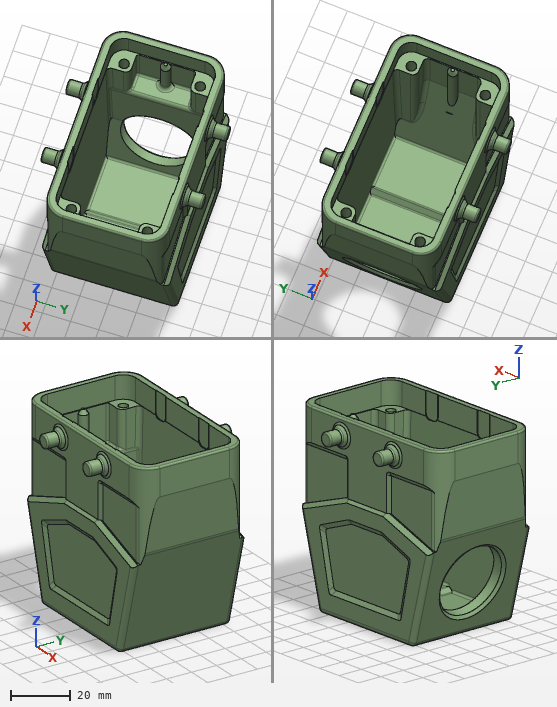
import cadquery as cq
import math

LENGTH = 73.0
HEIGHT = 72.0
PIN_SPAN = 57.0

UPPER_WIDTH = 43.1
UPPER_CORNER_RADIUS = 7.5
RIM_ROUND = 0.7
LOWER_WIDTH = 45.25
END_TAPER_TOP_Z = 60.7
END_KINK_X = 34.75
END_KINK_Z = 39.8
END_KINK_ROUND = 5.1
BOTTOM_HALF_LENGTH = 24.1
LOWER_EDGE_ROUND = 1.9

PANEL_TOP_Z = 44.5
PANEL_FLAT_HALF = 9.6
PANEL_END_Z = 36.05
PANEL_CHAMFER = 1.6

WINDOW_DEPTH = 0.95
WINDOW_INNER_X = 11.45
WINDOW_TOP_Z = 57.5
WINDOW_BORDER = 1.5
WINDOW_FLANK_ROUND = 2.2

LABEL_DEPTH = 1.0
LABEL_BORDER = 1.75
LABEL_CORNER_RADIUS = 2.9
LABEL_HALF_OUTLINE = [(18.5, 8.0), (23.65, 31.4), (8.4, 37.2)]

PIN_X = 13.35
PIN_Z = 65.7
PIN_RADIUS = 2.6
PIN_TIP_ROUND = 0.6
PIN_ROOT_DEPTH = 0.7
PIN_FOOT = [(4.7, 0), (3.8, 0.5), (2.9, 1.5), (PIN_RADIUS, 2.2)]

MOUTH_HALF_LENGTH = 33.7
MOUTH_WIDTH = 37.1
MOUTH_CORNER_RADIUS = 5.0
LEDGE_Z = 62.9
CAVITY_HALF_LENGTH = 33.3
CAVITY_TOP_WIDTH = 36.95
CAVITY_FLOOR_WIDTH = 34.45
FLOOR_EDGE_ROUND = 0.9
SHELF_Z = 48.2
FAR_SLOPE_TOP_Z = 42.35
SHELF_EDGE_X = 25.4
SHELF_EDGE_ROUND = 1.3
SHELF_ROOT_ROUND = 0.9
PAD_TOP_Z = 24.8
FLOOR_Z = 4.4
FLOOR_NEAR_X = 20.3
FLOOR_FAR_X = 22.6
FLOOR_STEP_X = 0.65
FLOOR_STEP_LENGTH = 2.2
FLOOR_STEP_HEIGHT = 1.75

RELIEF_WIDTH = 6.3
RELIEF_DEPTH = 0.3
RELIEF_BOTTOM_Z = 62.05
RELIEF_CORNER_ROUND = 2.1

BOSS_X = 25.7
BOSS_Y = 10.5
BOSS_CORNER_RADIUS = 2.2
BOSS_ROOT_ROUND = 1.75
SCREW_X = 28.55
SCREW_Y = 13.5
SCREW_DIAMETER = 2.7
SCREW_MOUTH_DIAMETER = 3.5
SCREW_DEPTH = 11.7

POST_X = 32.4
POST_FAR_ROOT_Z = 29.2
POST_RADIUS = 1.8
POST_TIP_RADIUS = 0.6
POST_TOP_Z = 63.65
POST_TIP_HEIGHT = 1.75
POST_FLARE = 1.4

ENTRY_DIAMETER = 26.8
ENTRY_MOUTH_DIAMETER = 29.0
ENTRY_CHAMFER = 1.1
ENTRY_Z = 19.7
ENTRY_DEPTH = 11.7

MARGIN = 0.7

END_SLOPE = (END_KINK_X - BOTTOM_HALF_LENGTH) / END_KINK_Z


def mirrored(points):
    """Closed outline from its +X half, listed upwards."""
    return points + [(-x, z) for x, z in reversed(points)]


def side_prism(points, width):
    """XZ outline extruded to both sides of the XZ plane."""
    return cq.Workplane("XZ").polyline(points).close().extrude(width / 2, both=True)


def both_sides(body):
    """Body together with its mirror image in the XZ plane."""
    return body.union(body.mirror("XZ"))


def upper_body():
    """Round-cornered box tapering in at both ends, with the window recesses."""
    half = LENGTH / 2
    base_z = PANEL_END_Z / 2
    box = cq.Workplane("XY", origin=(0, 0, base_z)).rect(LENGTH, UPPER_WIDTH).extrude(HEIGHT - base_z)
    box = box.edges("|Z").fillet(UPPER_CORNER_RADIUS)
    box = box.faces(">Z").edges().fillet(RIM_ROUND)
    outline = [
        (BOTTOM_HALF_LENGTH, 0),
        (END_KINK_X, END_KINK_Z),
        (half, END_TAPER_TOP_Z),
        (half, HEIGHT),
    ]
    box = box.intersect(side_prism(mirrored(outline), LOWER_WIDTH))
    box = box.cut(windows())
    window_flanks = cq.selectors.BoxSelector(
        (-END_KINK_X, -UPPER_WIDTH, END_KINK_Z), (END_KINK_X, UPPER_WIDTH, WINDOW_TOP_Z)
    )
    box = box.edges("|Z").edges(window_flanks).fillet(WINDOW_FLANK_ROUND)
    kink = cq.selectors.BoxSelector(
        (-LENGTH, -MARGIN, END_KINK_Z - MARGIN), (LENGTH, MARGIN, END_KINK_Z + MARGIN)
    )
    return box.edges("|Y").edges(kink).fillet(END_KINK_ROUND)


def windows():
    """Recesses that run out over the rounded corners, with sloping borders."""
    outer_x = LENGTH
    taper = math.degrees(math.atan2(WINDOW_BORDER, WINDOW_DEPTH))
    cutters = cq.Workplane("XY")
    for side in (-1, 1):
        cutter = (
            cq.Workplane("XZ", origin=(0, WINDOW_DEPTH - UPPER_WIDTH / 2, 0))
            .center(side * (WINDOW_INNER_X + outer_x) / 2, WINDOW_TOP_Z / 2)
            .rect(outer_x - WINDOW_INNER_X, WINDOW_TOP_Z)
            .extrude(2 * WINDOW_DEPTH, taper=-taper)
        )
        cutters = cutters.union(cutter)
    return both_sides(cutters)


def lower_body():
    """Wider tapered block whose top edge forms the raised panel outline."""
    end_x = BOTTOM_HALF_LENGTH + END_SLOPE * PANEL_END_Z
    outline = [
        (BOTTOM_HALF_LENGTH, 0),
        (end_x, PANEL_END_Z),
        (PANEL_FLAT_HALF, PANEL_TOP_Z),
    ]
    body = side_prism(mirrored(outline), LOWER_WIDTH)
    panel_top = cq.selectors.BoxSelector(
        (-LENGTH, -LOWER_WIDTH, PANEL_END_Z + MARGIN), (LENGTH, LOWER_WIDTH, HEIGHT)
    )
    body = body.faces(">Y or <Y").edges(panel_top).chamfer(PANEL_CHAMFER)
    rounded = cq.selectors.BoxSelector(
        (-LENGTH, -LENGTH, -MARGIN), (LENGTH, LENGTH, PANEL_END_Z / 2 + MARGIN)
    )
    return body.edges(rounded).fillet(LOWER_EDGE_ROUND)


def label_recesses():
    """Shallow recesses with sloping borders in both side faces."""
    taper = math.degrees(math.atan2(LABEL_BORDER, LABEL_DEPTH))
    wire = cq.Workplane("XZ", origin=(0, -LOWER_WIDTH / 2, 0)).polyline(mirrored(LABEL_HALF_OUTLINE)).close()
    prism = wire.extrude(-LABEL_DEPTH, taper=taper)
    prism = prism.edges("not #Y").fillet(LABEL_CORNER_RADIUS)
    return both_sides(prism)


def pins():
    """Two locking pins on each side, each on a flared foot."""
    base_y = UPPER_WIDTH / 2
    tip_y = PIN_SPAN / 2
    root_y = base_y - PIN_ROOT_DEPTH
    outline = [(0, root_y), (PIN_FOOT[0][0], root_y)]
    outline += [(radius, base_y + rise) for radius, rise in PIN_FOOT]
    outline += [(PIN_RADIUS, tip_y), (0, tip_y)]
    profile = cq.Workplane("XY").polyline(outline).close()
    pin = profile.revolve(360, (0, 0, 0), (0, 1, 0)).faces(">Y").edges().fillet(PIN_TIP_ROUND)
    pair = pin.translate((-PIN_X, 0, PIN_Z)).union(pin.translate((PIN_X, 0, PIN_Z)))
    return both_sides(pair)


def mouth():
    """Open upper part of the cavity, above the ledge."""
    opening = (
        cq.Workplane("XY", origin=(0, 0, LEDGE_Z))
        .rect(2 * MOUTH_HALF_LENGTH, MOUTH_WIDTH)
        .extrude(HEIGHT - LEDGE_Z)
        .edges("|Z")
        .fillet(MOUTH_CORNER_RADIUS)
    )
    relief_height = HEIGHT - RELIEF_BOTTOM_Z
    for x in (-PIN_X, PIN_X):
        relief = (
            cq.Workplane("XY")
            .box(RELIEF_WIDTH, MOUTH_WIDTH + 2 * RELIEF_DEPTH, relief_height, centered=(True, True, False))
            .edges("|Y and <Z")
            .fillet(RELIEF_CORNER_ROUND)
            .translate((x, 0, RELIEF_BOTTOM_Z))
        )
        opening = opening.union(relief)
    return opening


def lower_cavity():
    """Drafted cavity below the ledge, leaving the cable entry pad and the bosses."""
    step_end_x = FLOOR_STEP_X + FLOOR_STEP_LENGTH
    raised_z = FLOOR_Z + FLOOR_STEP_HEIGHT
    outline = [
        (-CAVITY_HALF_LENGTH, LEDGE_Z),
        (-CAVITY_HALF_LENGTH, SHELF_Z),
        (-SHELF_EDGE_X, SHELF_Z),
        (-SHELF_EDGE_X, PAD_TOP_Z),
        (-FLOOR_NEAR_X, FLOOR_Z),
        (FLOOR_STEP_X, FLOOR_Z),
        (step_end_x, raised_z),
        (FLOOR_FAR_X, raised_z),
        (CAVITY_HALF_LENGTH, FAR_SLOPE_TOP_Z),
        (CAVITY_HALF_LENGTH, LEDGE_Z),
    ]
    cavity = side_prism(outline, LOWER_WIDTH)
    top = CAVITY_TOP_WIDTH / 2
    floor = CAVITY_FLOOR_WIDTH / 2
    section = [(-floor, FLOOR_Z), (floor, FLOOR_Z), (top, LEDGE_Z), (-top, LEDGE_Z)]
    draft = cq.Workplane("YZ").polyline(section).close().extrude(LENGTH / 2, both=True)
    cavity = cavity.intersect(draft)
    floor_zone = cq.selectors.BoxSelector(
        (-LENGTH, -LENGTH, FLOOR_Z - MARGIN), (LENGTH, LENGTH, raised_z + MARGIN)
    )
    cavity = cavity.edges(floor_zone).edges("|X or |Y").fillet(FLOOR_EDGE_ROUND)
    shelf_edge = cq.selectors.NearestToPointSelector((-SHELF_EDGE_X, 0, SHELF_Z))
    cavity = cavity.edges(shelf_edge).fillet(SHELF_EDGE_ROUND)
    cavity = cavity.cut(bosses())

    middle_z = (SHELF_Z + LEDGE_Z) / 2
    far_x = (BOSS_X + CAVITY_HALF_LENGTH) / 2
    far_slope = (FAR_SLOPE_TOP_Z - raised_z) / (CAVITY_HALF_LENGTH - FLOOR_FAR_X)
    far_z = raised_z + far_slope * (far_x - FLOOR_FAR_X)
    boss_roots = [
        (CAVITY_HALF_LENGTH, BOSS_Y, middle_z),
        (far_x, BOSS_Y, far_z),
        (BOSS_X, top, LEDGE_Z / 2),
        (-BOSS_X, top, middle_z),
    ]
    shelf_roots = [
        (-CAVITY_HALF_LENGTH, 0, SHELF_Z),
        (-CAVITY_HALF_LENGTH, BOSS_Y, middle_z),
        (-far_x, BOSS_Y, SHELF_Z),
    ]
    cavity = round_roots(cavity, boss_roots, BOSS_ROOT_ROUND)
    return round_roots(cavity, shelf_roots, SHELF_ROOT_ROUND)


def round_roots(cavity, roots, radius):
    """Fillet the edges nearest to the given points and to their mirror images in Y."""
    edges = cq.Workplane("XY").newObject([])
    for x, y, z in roots:
        for side in (-1, 1):
            edges = edges.add(cavity.edges(cq.selectors.NearestToPointSelector((x, side * y, z))))
    return cavity.newObject(list(set(edges.vals()))).fillet(radius)


def bosses():
    """Corner columns that stay solid from the floor up to the ledge."""
    size_x = LENGTH / 2 - BOSS_X
    size_y = UPPER_WIDTH / 2 - BOSS_Y
    columns = cq.Workplane("XY")
    for sx in (-1, 1):
        for sy in (-1, 1):
            column = (
                cq.Workplane("XY")
                .center(sx * (BOSS_X + size_x / 2), sy * (BOSS_Y + size_y / 2))
                .rect(size_x, size_y)
                .extrude(LEDGE_Z)
                .edges("|Z")
                .fillet(BOSS_CORNER_RADIUS)
            )
            columns = columns.union(column)
    return columns


def screw_holes():
    """Slightly tapered blind holes, widest at the boss top."""
    spots = [(x, y) for x in (-SCREW_X, SCREW_X) for y in (-SCREW_Y, SCREW_Y)]
    taper = math.degrees(math.atan2((SCREW_MOUTH_DIAMETER - SCREW_DIAMETER) / 2, SCREW_DEPTH))
    top = cq.Workplane("XY", origin=(0, 0, LEDGE_Z)).pushPoints(spots)
    return top.circle(SCREW_MOUTH_DIAMETER / 2).extrude(-SCREW_DEPTH, taper=taper)


def guide_post(x, root_z):
    """Post with a flared root and a conical tip."""
    flare_mid = POST_FLARE * (1 - math.sqrt(0.5))
    height = POST_TOP_Z - root_z
    profile = (
        cq.Workplane("XZ")
        .lineTo(POST_RADIUS + POST_FLARE, 0)
        .threePointArc((POST_RADIUS + flare_mid, flare_mid), (POST_RADIUS, POST_FLARE))
        .lineTo(POST_RADIUS, height - POST_TIP_HEIGHT)
        .lineTo(POST_TIP_RADIUS, height)
        .lineTo(0, height)
        .close()
    )
    return profile.revolve(360, (0, 0, 0), (0, 1, 0)).translate((x, 0, root_z))


def cable_entry():
    """Bore through the -X end wall with a conical lead-in."""
    entry_x = -(BOTTOM_HALF_LENGTH + END_SLOPE * ENTRY_Z)
    wall = cq.Plane(origin=(entry_x, 0, ENTRY_Z), xDir=(0, 1, 0), normal=(1, 0, END_SLOPE))
    taper = math.degrees(math.atan2((ENTRY_MOUTH_DIAMETER - ENTRY_DIAMETER) / 2, ENTRY_CHAMFER))
    bore = cq.Workplane(wall).circle(ENTRY_DIAMETER / 2).extrude(ENTRY_DEPTH)
    lead_in = cq.Workplane(wall).circle(ENTRY_MOUTH_DIAMETER / 2).extrude(ENTRY_CHAMFER, taper=taper)
    return bore.union(lead_in)


shell = upper_body().union(lower_body())
result = shell.cut(label_recesses()).union(pins())
result = result.cut(mouth()).cut(lower_cavity()).cut(screw_holes())

posts = guide_post(-POST_X, SHELF_Z).union(guide_post(POST_X, POST_FAR_ROOT_Z))
result = result.union(posts.intersect(shell)).cut(cable_entry())